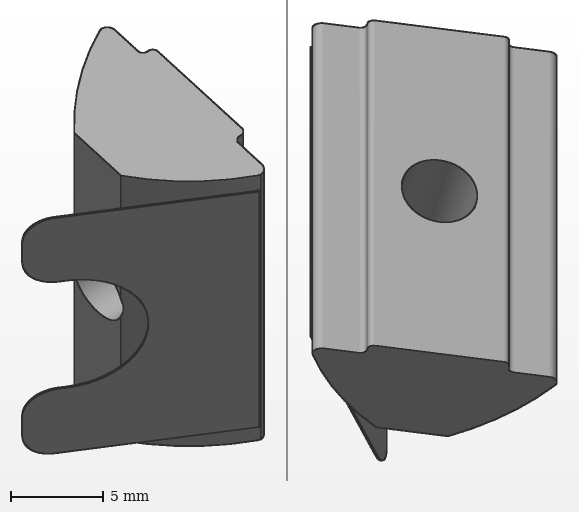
import cadquery as cq
import math

length = 22
half_width = 6.75
depth = 7.2
ridge_half_width = 3.92
ridge_height = 0.81
ridge_round = 0.35
flank_top_half_width = 6.69
flank_top_y = -1.52
shoulder_round = 0.53
front_half_width = 1.98
flank_radius = 16.5
hole_diameter = 4.18

leaf_angle = 60
leaf_thickness = 0.1
leaf_right_x = 6.85
leaf_top_y = -1.47
leaf_tip_y = -12.75
leaf_height = 19.54
leaf_outer_corner_radius = 1.75
leaf_inner_corner_radius = 1.98
notch_radius = 4.45
notch_depth = 6.93


def make_block():
    """Extrude the profile with its rear ridge and bowed flanks, then drill it."""
    shoulder_y = -ridge_height
    shoulder_x = half_width - shoulder_round
    shoulder_mid = (
        shoulder_x + shoulder_round * math.cos(math.pi / 4),
        shoulder_y - shoulder_round * (1 - math.sin(math.pi / 4)),
    )
    block = (
        cq.Workplane("XY")
        .moveTo(-ridge_half_width, 0)
        .lineTo(ridge_half_width, 0)
        .lineTo(ridge_half_width, shoulder_y)
        .lineTo(shoulder_x, shoulder_y)
        .threePointArc(shoulder_mid, (half_width, shoulder_y - shoulder_round))
        .lineTo(flank_top_half_width, flank_top_y)
        .radiusArc((front_half_width, -depth), flank_radius)
        .lineTo(-front_half_width, -depth)
        .radiusArc((-flank_top_half_width, flank_top_y), flank_radius)
        .lineTo(-half_width, shoulder_y - shoulder_round)
        .threePointArc((-shoulder_mid[0], shoulder_mid[1]), (-shoulder_x, shoulder_y))
        .lineTo(-ridge_half_width, shoulder_y)
        .close()
        .extrude(length / 2, both=True)
    )
    ridge_edges = cq.selectors.BoxSelector(
        (-ridge_half_width - 0.22, shoulder_y - 0.22, -0.22),
        (ridge_half_width + 0.22, 0.22, 0.22),
    )
    block = block.edges("|Z").edges(ridge_edges).fillet(ridge_round)
    hole = cq.Workplane("XZ").circle(hole_diameter / 2).extrude(depth)
    return block.cut(hole)


def make_leaf():
    """Make the notched plate, running from the block's right edge to its tip."""
    slope = math.radians(leaf_angle)
    leaf_length = (leaf_top_y - leaf_tip_y) / math.sin(slope)
    leaf_plane = cq.Plane(
        origin=(leaf_right_x, leaf_top_y, 0),
        xDir=(-math.cos(slope), -math.sin(slope), 0),
        normal=(-math.sin(slope), math.cos(slope), 0),
    )
    leaf = (
        cq.Workplane(leaf_plane)
        .center(leaf_length / 2, 0)
        .rect(leaf_length, leaf_height)
        .extrude(leaf_thickness)
    )
    notch_centre = leaf_length - notch_depth + notch_radius
    notch = (
        cq.Workplane(leaf_plane)
        .moveTo(leaf_length, notch_radius)
        .lineTo(notch_centre, notch_radius)
        .threePointArc((notch_centre - notch_radius, 0), (notch_centre, -notch_radius))
        .lineTo(leaf_length, -notch_radius)
        .close()
        .extrude(leaf_thickness)
    )
    leaf = leaf.cut(notch)
    tip_corners = cq.selectors.DirectionMinMaxSelector(leaf_plane.xDir, True)
    across_thickness = cq.selectors.ParallelDirSelector(leaf_plane.zDir)
    tip_edges = leaf.edges(across_thickness).edges(tip_corners)
    outer_corners = tip_edges.edges(">Z or <Z")
    leaf = outer_corners.fillet(leaf_outer_corner_radius)
    inner_corners = leaf.edges(across_thickness).edges(tip_corners)
    return inner_corners.fillet(leaf_inner_corner_radius)


result = make_block().union(make_leaf())